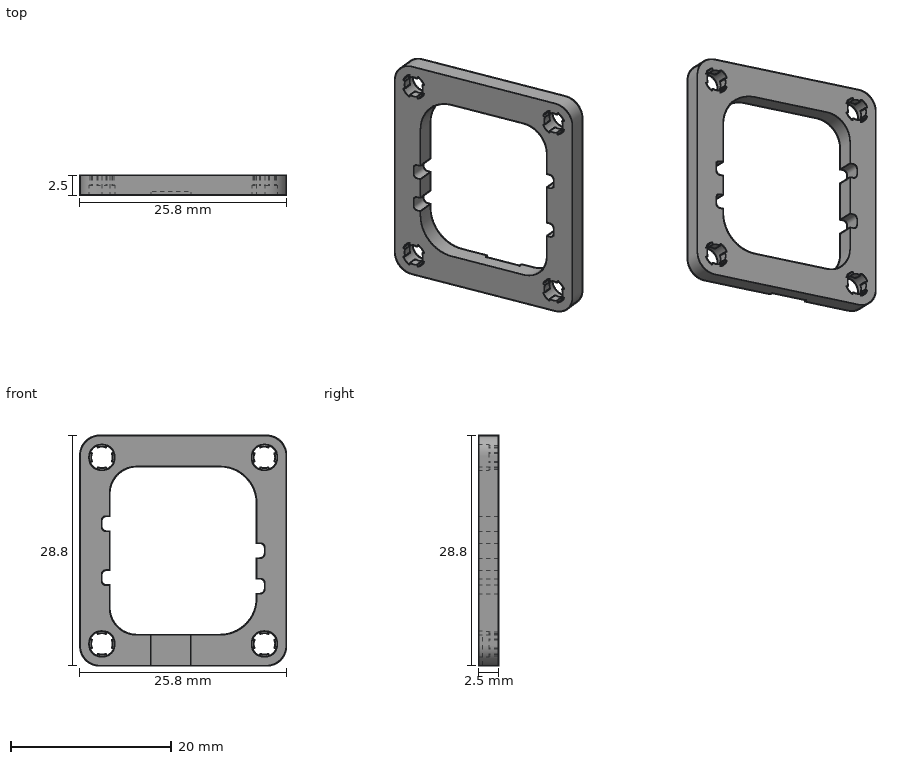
import cadquery as cq
import math

WIDTH = 25.8
THICKNESS = 2.5
HEIGHT = 28.8
OUTER_RADIUS = 2.5

SIDE_WALL = 3.75
END_WALL = 3.92
OPENING_LEFT_RADIUS = 3.35
OPENING_RIGHT_RADIUS = 4.52

NOTCH_DEPTH = 1.0
NOTCH_HEIGHT = 1.85
NOTCH_RADIUS = 0.55
LEFT_NOTCH_OFFSET = 3.37
RIGHT_NOTCH_SPACING = 4.44

HOLE_SPACING_X = 20.3
HOLE_SPACING_Z = 23.3
HOLE_DIAMETER = 3.23
TAB_INNER_DIAMETER = 2.65
TAB_COUNT = 4
TAB_ANGLE = 45.0
TAB_LENGTH = THICKNESS / 2

RECESS_CENTER_X = -1.55
RECESS_WIDTH = 4.95
RECESS_DEPTH = 0.45

FRONT_Y = -THICKNESS / 2
BACK_Y = THICKNESS / 2
OPENING_WIDTH = WIDTH - 2 * SIDE_WALL
OPENING_HEIGHT = HEIGHT - 2 * END_WALL


def block(x_size, y_size, z_size, x=0.0, y=0.0, z=0.0):
    """Box centred on the given point."""
    return cq.Workplane("XY").box(x_size, y_size, z_size).translate((x, y, z))


def opening():
    """Central window with larger corner radii on its right side."""
    window = block(OPENING_WIDTH, THICKNESS, OPENING_HEIGHT)
    window = window.edges("|Y and <X").fillet(OPENING_LEFT_RADIUS)
    return window.edges("|Y and >X").fillet(OPENING_RIGHT_RADIUS)


def notch(side, z):
    """Notch with rounded inner corners; side is -1 for the left edge and 1 for the right."""
    inner_face = ">X" if side > 0 else "<X"
    cutter = block(2 * NOTCH_DEPTH, THICKNESS, NOTCH_HEIGHT, x=side * OPENING_WIDTH / 2, z=z)
    return cutter.edges("|Y").edges(inner_face).fillet(NOTCH_RADIUS)


def cylinder(diameter, length):
    """Cylinder along Y that ends flush with the back face."""
    return cq.Workplane("XZ", origin=(0, BACK_Y, 0)).circle(diameter / 2).extrude(length)


def tab_wedge():
    """Wedge from the hole axis past the hole wall, limiting a tab to its angular width."""
    half_width = HOLE_DIAMETER * math.tan(math.radians(TAB_ANGLE / 2))
    wedge = cq.Workplane("XZ", origin=(0, BACK_Y, 0)).moveTo(0, 0)
    wedge = wedge.lineTo(half_width, HOLE_DIAMETER).lineTo(-half_width, HOLE_DIAMETER).close()
    return wedge.extrude(TAB_LENGTH)


def hole_cutter(x, z):
    """Through hole that leaves four ring-segment tabs on its wall, flush with the back face."""
    cutter = cylinder(HOLE_DIAMETER, THICKNESS)
    tab_ring = cylinder(HOLE_DIAMETER, TAB_LENGTH).cut(cylinder(TAB_INNER_DIAMETER, TAB_LENGTH))
    tab = tab_ring.intersect(tab_wedge())
    for number in range(TAB_COUNT):
        cutter = cutter.cut(tab.rotate((0, 0, 0), (0, 1, 0), number * 360 / TAB_COUNT))
    return cutter.translate((x, 0, z))


frame = block(WIDTH, THICKNESS, HEIGHT).edges("|Y").fillet(OUTER_RADIUS)
frame = frame.cut(opening())

for notch_z in (-LEFT_NOTCH_OFFSET, LEFT_NOTCH_OFFSET):
    frame = frame.cut(notch(-1, notch_z))
for notch_z in (0, -RIGHT_NOTCH_SPACING):
    frame = frame.cut(notch(1, notch_z))

for side_x in (-1, 1):
    for side_z in (-1, 1):
        frame = frame.cut(hole_cutter(side_x * HOLE_SPACING_X / 2, side_z * HOLE_SPACING_Z / 2))

label_recess = block(
    RECESS_WIDTH,
    RECESS_DEPTH,
    END_WALL,
    x=RECESS_CENTER_X,
    y=FRONT_Y + RECESS_DEPTH / 2,
    z=(END_WALL - HEIGHT) / 2,
)
result = frame.cut(label_recess)